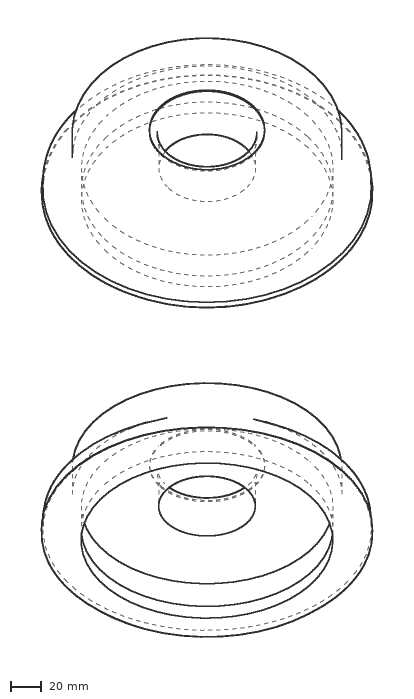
import cadquery as cq

total_height = 63.0
rim_height = 9.7
floor_height = 28.5

hub_radius = 88.0
skirt_radius = 107.2
flare_top = 36.5
flare_bottom = 19.7
flare_blend = 5.0
top_edge_round = 2.2

cavity_radius = 82.1

bore_radius = 31.5
entry_radius = 32.5
entry_round = 2.0
entry_depth = 8.0
taper_end_depth = 11.9
seat_radius = 37.5
seat_depth = 1.0

rim_radius = 108.0
rim_foot_radius = 102.2
rim_bevel_height = 6.0
rim_top_round = 0.6
rim_knuckle_round = 1.0
rim_foot_round = 1.0


def revolve_profile(points):
    """Revolve a closed (radius, height) outline about the Z axis."""
    outline = cq.Workplane("XZ").polyline(points).close()
    return outline.revolve(360, (0, 0, 0), (0, 1, 0))


def round_edges_at(body, radius, height, size):
    """Round the circular edge of the given radius and height."""
    tolerance = 0.1
    low = (-radius - tolerance, -radius - tolerance, height - tolerance)
    high = (radius + tolerance, radius + tolerance, height + tolerance)
    edges = body.edges(cq.selectors.BoxSelector(low, high, boundingbox=True))
    edges = edges.filter(lambda edge: abs(edge.radius() - radius) < tolerance)
    return edges.fillet(size)


def make_cup_body():
    seat_height = total_height - seat_depth
    body = revolve_profile([
        (seat_radius, total_height),
        (hub_radius, total_height),
        (hub_radius, flare_top),
        (skirt_radius, flare_bottom),
        (skirt_radius, rim_height),
        (cavity_radius, rim_height),
        (cavity_radius, floor_height),
        (bore_radius, floor_height),
        (bore_radius, total_height - taper_end_depth),
        (entry_radius, total_height - entry_depth),
        (entry_radius, seat_height),
        (seat_radius, seat_height),
    ])
    body = round_edges_at(body, hub_radius, total_height, top_edge_round)
    body = round_edges_at(body, hub_radius, flare_top, flare_blend)
    body = round_edges_at(body, skirt_radius, flare_bottom, flare_blend)
    return round_edges_at(body, entry_radius, seat_height, entry_round)


def make_rim():
    rim = revolve_profile([
        (cavity_radius, 0),
        (rim_foot_radius, 0),
        (rim_radius, rim_bevel_height),
        (rim_radius, rim_height),
        (cavity_radius, rim_height),
    ])
    rim = round_edges_at(rim, rim_radius, rim_height, rim_top_round)
    rim = round_edges_at(rim, rim_radius, rim_bevel_height, rim_knuckle_round)
    return round_edges_at(rim, rim_foot_radius, 0, rim_foot_round)


cup_body = make_cup_body()
rim = make_rim()
result = cq.Compound.makeCompound([cup_body.val(), rim.val()])